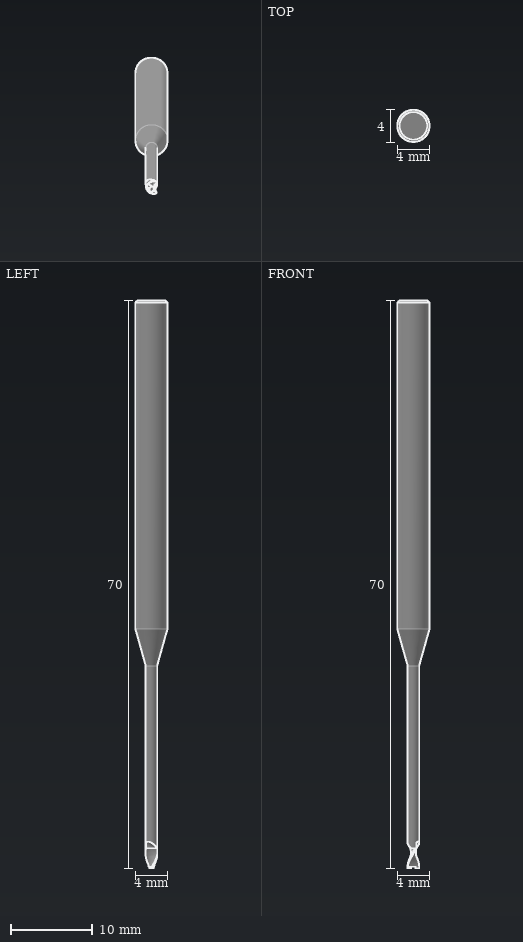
import cadquery as cq
import math


total_length = 70.0
shank_diameter = 4.0
shank_bottom = 29.5
shank_chamfer = 0.3
neck_diameter = 1.46
neck_top = 25.0

cutter_diameter = 1.5
cutter_length = 2.5
core_diameter = 0.66
helix_angle = 30.0
edge_angle = -5.0
land_angle = 15.0
core_angle = 105.0

dish_width = 0.5
dish_depth = 0.2
end_relief_angle = 30.0

runout_radius = 0.6

cutter_radius = cutter_diameter / 2
core_radius = core_diameter / 2
helix_pitch = math.pi * cutter_diameter / math.tan(math.radians(helix_angle))
twist_angle = 360.0 * cutter_length / helix_pitch


def polar(radius, angle):
    """Point in the XY plane at the given radius and angle in degrees."""
    return (radius * math.cos(math.radians(angle)), radius * math.sin(math.radians(angle)))


def half_turn(solid):
    return solid.rotate((0, 0, 0), (0, 0, 1), 180)


def make_runout():
    """Grinding-wheel cylinder on the +X side, square to the helix direction."""
    wheel_length = 2 * cutter_diameter
    wheel = cq.Workplane("XZ").circle(runout_radius).extrude(wheel_length / 2, both=True)
    wheel = wheel.rotate((0, 0, 0), (1, 0, 0), -helix_angle)
    return wheel.translate((core_radius + runout_radius, 0, cutter_length))


def make_shank():
    """Chamfered shank, cone and neck, with the two flute run-outs at the lower end."""
    shank_radius = shank_diameter / 2
    neck_radius = neck_diameter / 2
    profile = [
        (0, cutter_length),
        (neck_radius, cutter_length),
        (neck_radius, neck_top),
        (shank_radius, shank_bottom),
        (shank_radius, total_length - shank_chamfer),
        (shank_radius - shank_chamfer, total_length),
        (0, total_length),
    ]
    shank = cq.Workplane("XZ").polyline(profile).close().revolve(360, (0, 0, 0), (0, 1, 0))
    runout = make_runout()
    return shank.cut(runout).cut(half_turn(runout)).solids()


def make_end_relief():
    """Wedge below the +X blade, rising backwards from its cutting edge."""
    relief_rise = cutter_diameter * math.tan(math.radians(end_relief_angle))
    wedge = [(0, 0), (cutter_diameter, relief_rise), (cutter_diameter, 0)]
    return cq.Workplane("YZ").polyline(wedge).close().extrude(cutter_diameter).rotate(
        (0, 0, 0), (0, 0, 1), edge_angle
    )


def make_cutter():
    """Twisted two-blade head with relieved end edges and a dished centre."""
    opposite_edge_angle = edge_angle + 180
    land_middle = edge_angle + land_angle / 2
    land_end = edge_angle + land_angle
    blades = (
        cq.Workplane("XY")
        .moveTo(*polar(cutter_radius, edge_angle))
        .threePointArc(polar(cutter_radius, land_middle), polar(cutter_radius, land_end))
        .threePointArc(polar(core_radius, core_angle), polar(cutter_radius, opposite_edge_angle))
        .threePointArc(polar(cutter_radius, 180 + land_middle), polar(cutter_radius, 180 + land_end))
        .threePointArc(polar(core_radius, 180 + core_angle), polar(cutter_radius, edge_angle))
        .close()
        .twistExtrude(cutter_length, twist_angle)
    )
    relief = make_end_relief()
    dish = cq.Workplane("XY").box(dish_width, cutter_diameter, 2 * dish_depth)
    return blades.cut(relief).cut(half_turn(relief)).cut(dish).solids()


shank = make_shank()
cutter = make_cutter()

result = cq.Compound.makeCompound([shank.val(), cutter.val()])